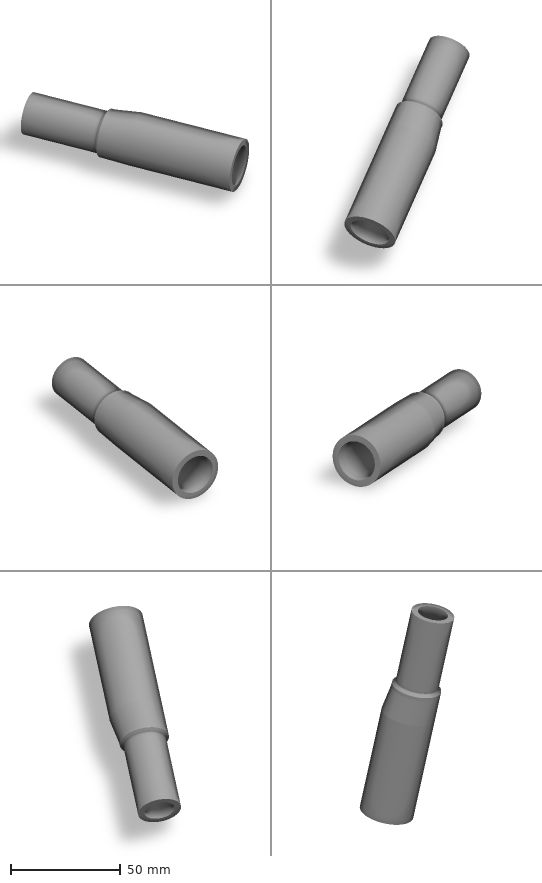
import cadquery as cq

length = 103.0
body_diameter = 25.0
body_bore = 19.0

spigot_diameter = 20.0
spigot_bore = 14.0
collar_diameter = 23.0
spigot_offset = (collar_diameter - body_diameter) / 2

collar_start = 36.4
collar_chamfer = (collar_diameter - spigot_diameter) / 2
taper_start = 39.6
taper_end = 51.9


def cylinder(x_start, x_end, diameter, y_center):
    """Solid cylinder along X between two stations."""
    return (
        cq.Workplane("YZ", origin=(x_start, y_center, 0))
        .circle(diameter / 2)
        .extrude(x_end - x_start)
    )


def eccentric_taper(small_diameter, large_diameter):
    """Straight-sided transition from the spigot axis to the body axis."""
    return (
        cq.Workplane("YZ", origin=(taper_start, spigot_offset, 0))
        .circle(small_diameter / 2)
        .workplane(offset=taper_end - taper_start)
        .center(-spigot_offset, 0)
        .circle(large_diameter / 2)
        .loft(ruled=True)
    )


def stepped_passage():
    """Through bore that widens from the spigot to the body inside the taper."""
    passage = cylinder(0, taper_start, spigot_bore, spigot_offset)
    passage = passage.union(eccentric_taper(spigot_bore, body_bore))
    return passage.union(cylinder(taper_end, length, body_bore, 0))


spigot = cylinder(0, collar_start, spigot_diameter, spigot_offset)
collar = cylinder(collar_start, taper_start, collar_diameter, spigot_offset)
collar = collar.faces("<X").chamfer(collar_chamfer)
taper = eccentric_taper(collar_diameter, body_diameter)
body = cylinder(taper_end, length, body_diameter, 0)

result = spigot.union(collar).union(taper).union(body).cut(stepped_passage())